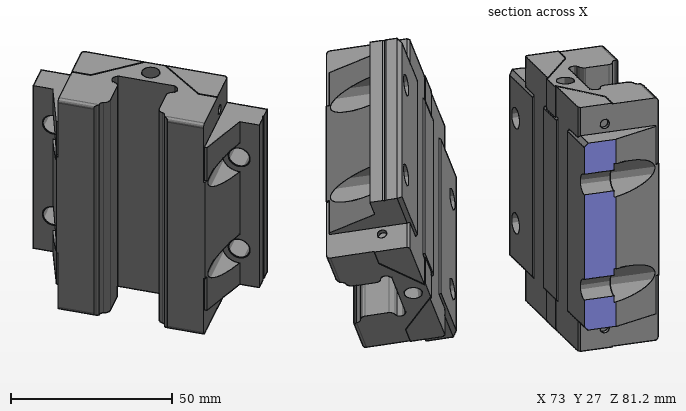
import cadquery as cq
import math


WIDTH = 73.0
HEIGHT = 27.0
LENGTH = 81.2

BLOCK_LENGTH = 62.4
FLANGE_THICKNESS = 10.0
BLOCK_CHAMFER = 1.3
WEB_TOP_HALF = 30.2
WEB_BOTTOM_HALF = 23.95
LEDGE_HEIGHT = 1.0
LEDGE_INNER_Z = 18.5
CAP_STEP = 0.6
RELIEF_INNER_X = 5.7
RELIEF_OUTER_X = 15.3
GROOVE_DEPTH = 0.35
GROOVE_WIDTH = 1.0
GROOVE_DROP = 5.4

HOLE_SPACING_X = 60.0
HOLE_SPACING_Z = 35.0
HOLE_DIAMETER = 6.7
HOLE_MOUTH_CHAMFER = 0.2
SPOTFACE_DIAMETER = 11.0

CAP_HALF = 23.5
CAP_CHAMFER = 0.7
CAP_FILLET = 1.2
PLATE_THICKNESS = 0.25
PLATE_DEPTH = 11.8
PLATE_TOP_X = 3.5
PLATE_FOOT_X = 17.4
RIDGE_HALF = 3.9
RIDGE_HEIGHT = 0.3
END_PORT_DIAMETER = 5.6
END_PORT_DEPTH = 6.0
END_PORT_DROP = 5.1
DRILL_POINT_ANGLE = 118.0
SIDE_PORT_DIAMETER = 3.0
SIDE_PORT_DEPTH = 1.4
SIDE_PORT_DROP = 9.3
SIDE_PORT_Z = 34.0

SLOT_ROOF_Y = HEIGHT - 9.7
SLOT_ROOF_HALF = 9.2
SLOT_THROAT_HALF = 7.9
SLOT_UNDERCUT_HALF = 10.5
SLOT_BLEND_HALF = 9.3
SLOT_MOUTH_HALF = 11.9
UNDERCUT_END_HALF = 10.0
LOWER_BLEND_HALF = 9.55
LOWER_UNDERCUT_RADIUS = 1.4
MOUTH_RADIUS = 1.2
THROAT_RADIUS = 2.0
UNDERCUT_TOP_Y = SLOT_ROOF_Y - 0.7
UNDERCUT_MIDDLE_Y = SLOT_ROOF_Y - 1.9
UNDERCUT_BOTTOM_Y = SLOT_ROOF_Y - 3.1
UPPER_BLEND_Y = SLOT_ROOF_Y - 3.5
THROAT_TOP_Y = SLOT_ROOF_Y - 5.1
THROAT_BOTTOM_Y = 4.5
LOWER_BLEND_Y = 2.7
MOUTH_RECESS_Y = 1.6
MOUTH_CHAMFER_Y = 1.15
MOUTH_BREAK_HALF = 11.35
MOUTH_BREAK_Y = 0.6

CAP_TOP_Y = HEIGHT - CAP_STEP
CAP_LENGTH = LENGTH - 2 * PLATE_THICKNESS


def box(x_range, y_range, z_range):
    """Axis-aligned box from its limits."""
    size = [high - low for low, high in (x_range, y_range, z_range)]
    corner = (x_range[0], y_range[0], z_range[0])
    return cq.Workplane("XY").box(*size, centered=False).translate(corner)


def extrude_centred(outline, length):
    """Extrude a closed XY outline symmetrically about Z = 0."""
    return outline.extrude(length / 2, both=True)


def mirrored(shape, plane):
    """The shape together with its mirror image."""
    return shape.union(shape.mirror(plane))


def flanged_block():
    flange = cq.Workplane("XY").box(WIDTH, FLANGE_THICKNESS, BLOCK_LENGTH)
    flange = flange.translate((0, HEIGHT - FLANGE_THICKNESS / 2, 0))
    flange = flange.faces(">Y").edges().chamfer(BLOCK_CHAMFER)
    web_top_y = HEIGHT - FLANGE_THICKNESS
    web = extrude_centred(
        cq.Workplane("XY").polyline([
            (-WEB_BOTTOM_HALF, 0),
            (WEB_BOTTOM_HALF, 0),
            (WEB_TOP_HALF, web_top_y),
            (-WEB_TOP_HALF, web_top_y),
        ]).close(),
        BLOCK_LENGTH,
    )
    ledge = box((CAP_HALF, WIDTH / 2), (0, LEDGE_HEIGHT), (LEDGE_INNER_Z, LENGTH / 2))
    relief = box((RELIEF_INNER_X, RELIEF_OUTER_X), (CAP_TOP_Y, HEIGHT), (-LENGTH / 2, LENGTH / 2))
    block = flange.union(web)
    block = block.cut(mirrored(mirrored(ledge, "XY"), "YZ"))
    return block.cut(mirrored(relief, "YZ"))


def cap_body():
    """One bar holding both end caps; the flanged block is joined around its middle."""
    body = cq.Workplane("XY").box(2 * CAP_HALF, CAP_TOP_Y, CAP_LENGTH)
    body = body.translate((0, CAP_TOP_Y / 2, 0))
    body = body.faces("<Y").edges("|X").fillet(CAP_FILLET)
    ridge = box(
        (-RIDGE_HALF, RIDGE_HALF),
        (CAP_TOP_Y - RIDGE_HEIGHT, CAP_TOP_Y + RIDGE_HEIGHT),
        (-CAP_LENGTH / 2, CAP_LENGTH / 2),
    )
    plates = extrude_centred(
        cq.Workplane("XY").polyline([
            (PLATE_TOP_X, CAP_TOP_Y),
            (CAP_HALF, CAP_TOP_Y),
            (CAP_HALF, HEIGHT - PLATE_DEPTH),
            (PLATE_FOOT_X, HEIGHT - PLATE_DEPTH),
        ]).close(),
        LENGTH,
    )
    body = body.union(mirrored(plates, "YZ"))
    corner = extrude_centred(
        cq.Workplane("XY").polyline([
            (CAP_HALF - CAP_CHAMFER, CAP_TOP_Y),
            (CAP_HALF, CAP_TOP_Y),
            (CAP_HALF, CAP_TOP_Y - CAP_CHAMFER),
        ]).close(),
        LENGTH,
    )
    return body.cut(mirrored(corner, "YZ")).union(ridge)


def rail_slot():
    half = (
        cq.Workplane("XY")
        .moveTo(0, SLOT_ROOF_Y)
        .lineTo(SLOT_ROOF_HALF, SLOT_ROOF_Y)
        .lineTo(UNDERCUT_END_HALF, UNDERCUT_TOP_Y)
        .threePointArc(
            (SLOT_UNDERCUT_HALF, UNDERCUT_MIDDLE_Y),
            (UNDERCUT_END_HALF, UNDERCUT_BOTTOM_Y),
        )
        .lineTo(SLOT_BLEND_HALF, UPPER_BLEND_Y)
        .radiusArc((SLOT_THROAT_HALF, THROAT_TOP_Y), -THROAT_RADIUS)
        .lineTo(SLOT_THROAT_HALF, THROAT_BOTTOM_Y)
        .radiusArc((LOWER_BLEND_HALF, LOWER_BLEND_Y), -THROAT_RADIUS)
        .radiusArc((SLOT_UNDERCUT_HALF, MOUTH_RECESS_Y), LOWER_UNDERCUT_RADIUS)
        .lineTo(SLOT_UNDERCUT_HALF, MOUTH_CHAMFER_Y)
        .lineTo(MOUTH_BREAK_HALF, MOUTH_BREAK_Y)
        .radiusArc((SLOT_MOUTH_HALF, 0), MOUTH_RADIUS)
        .lineTo(0, 0)
        .close()
    )
    return mirrored(extrude_centred(half, LENGTH), "YZ")


def y_cylinder(diameter, low, high):
    """Cylinder along Y between two heights."""
    return cq.Workplane("XZ", origin=(0, high, 0)).circle(diameter / 2).extrude(high - low)


def mounting_holes():
    spotface_y = HEIGHT - FLANGE_THICKNESS
    hole = y_cylinder(HOLE_DIAMETER, spotface_y, HEIGHT)
    mouth = cq.Workplane(cq.Solid.makeCone(
        HOLE_DIAMETER / 2 + HOLE_MOUTH_CHAMFER,
        HOLE_DIAMETER / 2,
        HOLE_MOUTH_CHAMFER,
        pnt=cq.Vector(0, spotface_y, 0),
        dir=cq.Vector(0, 1, 0),
    ))
    hole = hole.union(mouth)
    hole = hole.union(y_cylinder(SPOTFACE_DIAMETER, 0, spotface_y))
    hole = hole.translate((HOLE_SPACING_X / 2, 0, HOLE_SPACING_Z / 2))
    return mirrored(mirrored(hole, "XY"), "YZ")


def end_ports():
    """Drilled ports with conical bottoms in both cap ends."""
    radius = END_PORT_DIAMETER / 2
    point = radius / math.tan(math.radians(DRILL_POINT_ANGLE / 2))
    end_z = CAP_LENGTH / 2
    floor_z = end_z - END_PORT_DEPTH
    port = (
        cq.Workplane("XZ")
        .polyline([(0, end_z), (radius, end_z), (radius, floor_z), (0, floor_z - point)])
        .close()
        .revolve(360, (0, 0, 0), (0, 1, 0))
        .translate((0, HEIGHT - END_PORT_DROP, 0))
    )
    return mirrored(port, "XY")


def side_ports():
    """Blind holes in the flat sides of both end caps."""
    port = (
        cq.Workplane("YZ", origin=(CAP_HALF - SIDE_PORT_DEPTH, HEIGHT - SIDE_PORT_DROP, SIDE_PORT_Z))
        .circle(SIDE_PORT_DIAMETER / 2)
        .extrude(SIDE_PORT_DEPTH)
    )
    return mirrored(mirrored(port, "XY"), "YZ")


def reference_groove():
    """V-groove along the +X flange side."""
    centre_y = HEIGHT - GROOVE_DROP
    outline = cq.Workplane("XY").polyline([
        (WIDTH / 2, centre_y + GROOVE_WIDTH / 2),
        (WIDTH / 2 - GROOVE_DEPTH, centre_y),
        (WIDTH / 2, centre_y - GROOVE_WIDTH / 2),
    ]).close()
    return extrude_centred(outline, BLOCK_LENGTH)


result = flanged_block().union(cap_body())
for cutter in (rail_slot(), mounting_holes(), end_ports(), side_ports(), reference_groove()):
    result = result.cut(cutter)